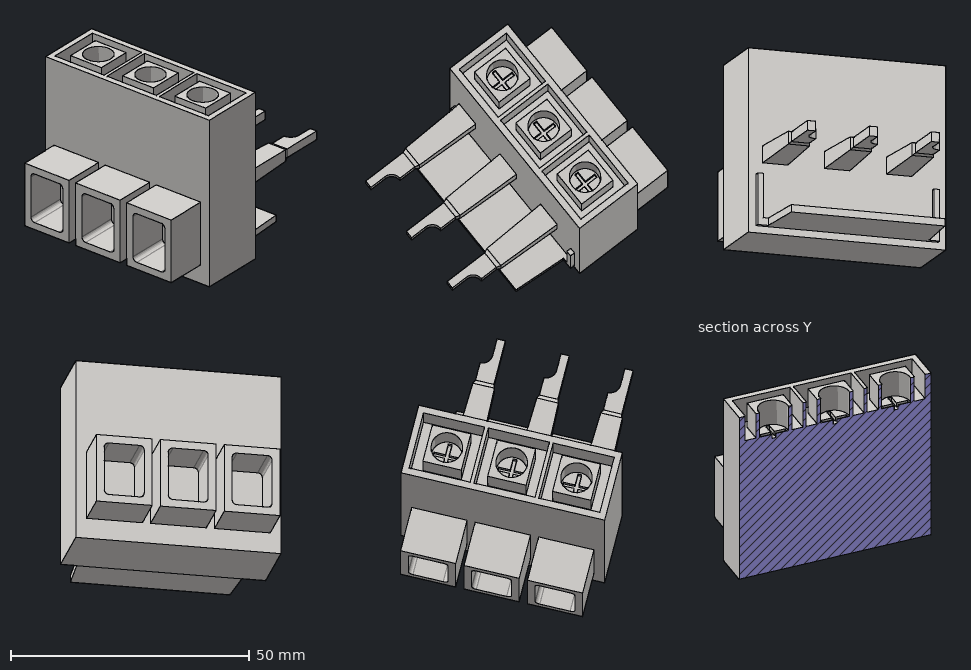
import cadquery as cq

POLES = (-1, 0, 1)
OVERLAP = 0.5

BODY_WIDTH = 44.0
BODY_DEPTH = 15.5
BODY_HEIGHT = 40.0

CHAMBER_PITCH = 14.0
CHAMBER_WIDTH = 13.2
CHAMBER_LENGTH = 12.6
CHAMBER_DEPTH = 6.0
CHAMBER_Y = -BODY_DEPTH / 2
BOSS_SIZE = 8.3
SCREW_DIAMETER = 6.6
SCREW_HOLE_DEPTH = CHAMBER_DEPTH
CROSS_LENGTH = 5.8
CROSS_WIDTH = 0.8
CROSS_DEPTH = 1.0

TUBE_PITCH = 13.7
TUBE_WIDTH = 11.95
TUBE_HEIGHT = 15.05
TUBE_LENGTH = 9.9
TUBE_BOTTOM = 4.5
TUBE_WALL = 1.7
TUBE_CORNER_RADIUS = 1.0

PIN_PITCH = 13.8
PIN_OFFSET = 2.2
PIN_Z = 17.15
PIN_ROOT_WIDTH = 5.6
PIN_ROOT_HEIGHT = 3.7
PIN_SLEEVE_WIDTH = 4.7
PIN_SLEEVE_HEIGHT = 2.8
PIN_SLEEVE_END = 14.7
BLADE_WIDTH = 4.0
BLADE_THICKNESS = 2.1
BLADE_START = 15.6
BLADE_NOTCH_START = 19.6
BLADE_NOTCH_WIDTH = 2.2
BLADE_END = 25.6

FRAME_WIDTH = 40.5
FRAME_DEPTH = 1.05
FRAME_BOTTOM = 1.55
FRAME_TOP = 12.75
FRAME_RIB_WIDTH = 1.25
SHELF_THICKNESS = 1.6
SHELF_END = 13.1
SHELF_ROOT_WIDTH = 35.8
SHELF_TIP_WIDTH = 34.2


def box(width, length, height, x, y, z):
    """Box centred on (x, y) with its lower face at z."""
    return cq.Workplane("XY").box(width, length, height, centered=(True, True, False)).translate((x, y, z))


def housing():
    return box(BODY_WIDTH, BODY_DEPTH, BODY_HEIGHT, 0, -BODY_DEPTH / 2, 0)


def chamber_cut(x):
    """Chamber around the screw boss, bore inside it and cross slot in the screw head at its floor."""
    floor = BODY_HEIGHT - CHAMBER_DEPTH
    screw_head = BODY_HEIGHT - SCREW_HOLE_DEPTH
    cross_floor = screw_head - CROSS_DEPTH
    ring = box(CHAMBER_WIDTH, CHAMBER_LENGTH, CHAMBER_DEPTH, x, CHAMBER_Y, floor).cut(
        box(BOSS_SIZE, BOSS_SIZE, CHAMBER_DEPTH, x, CHAMBER_Y, floor)
    )
    hole = (
        cq.Workplane("XY")
        .circle(SCREW_DIAMETER / 2)
        .extrude(SCREW_HOLE_DEPTH)
        .translate((x, CHAMBER_Y, screw_head))
    )
    cross = box(CROSS_LENGTH, CROSS_WIDTH, CROSS_DEPTH, x, CHAMBER_Y, cross_floor).union(
        box(CROSS_WIDTH, CROSS_LENGTH, CROSS_DEPTH, x, CHAMBER_Y, cross_floor)
    )
    return ring, hole, cross


def cable_tube(x):
    """Rectangular tube, open at the front and closed by the housing."""
    outer_length = TUBE_LENGTH + OVERLAP
    outer_y = -BODY_DEPTH + OVERLAP - outer_length / 2
    outer = box(TUBE_WIDTH, outer_length, TUBE_HEIGHT, x, outer_y, TUBE_BOTTOM)
    opening = box(
        TUBE_WIDTH - 2 * TUBE_WALL,
        TUBE_LENGTH,
        TUBE_HEIGHT - 2 * TUBE_WALL,
        x,
        -BODY_DEPTH - TUBE_LENGTH / 2,
        TUBE_BOTTOM + TUBE_WALL,
    )
    return outer, opening.edges("|Y").fillet(TUBE_CORNER_RADIUS)


def tapered_block(x, y_start, start_size, y_end, end_size):
    """Straight taper along Y between two rectangles centred on the pin axis."""
    return (
        cq.Workplane("XZ", origin=(x, y_start, PIN_Z))
        .rect(*start_size)
        .workplane(offset=y_start - y_end)
        .rect(*end_size)
        .loft(ruled=True)
    )


def contact_pin(x):
    """Tapered sleeve, short shoulder and a notched flat blade."""
    root = (PIN_ROOT_WIDTH, PIN_ROOT_HEIGHT)
    sleeve_end = (PIN_SLEEVE_WIDTH, PIN_SLEEVE_HEIGHT)
    blade_section = (BLADE_WIDTH, BLADE_THICKNESS)
    left = -BLADE_WIDTH / 2
    right = BLADE_WIDTH / 2
    blade = (
        cq.Workplane("XY", origin=(x, 0, PIN_Z - BLADE_THICKNESS / 2))
        .moveTo(left, BLADE_START)
        .lineTo(right, BLADE_START)
        .lineTo(right, BLADE_END)
        .lineTo(left + BLADE_NOTCH_WIDTH, BLADE_END)
        .lineTo(left + BLADE_NOTCH_WIDTH, BLADE_NOTCH_START + BLADE_NOTCH_WIDTH)
        .radiusArc((left, BLADE_NOTCH_START), BLADE_NOTCH_WIDTH)
        .close()
        .extrude(BLADE_THICKNESS)
    )
    sleeve = tapered_block(x, 0, root, PIN_SLEEVE_END, sleeve_end)
    shoulder = tapered_block(x, PIN_SLEEVE_END, sleeve_end, BLADE_START, blade_section)
    return sleeve.union(shoulder).union(blade)


def support_frame():
    """Low bar with an upright rib at each end, set against the rear face."""
    length = FRAME_DEPTH + OVERLAP
    y = FRAME_DEPTH - length / 2
    rib_x = (FRAME_WIDTH - FRAME_RIB_WIDTH) / 2
    frame = box(FRAME_WIDTH, length, SHELF_THICKNESS, 0, y, FRAME_BOTTOM)
    for side in (-1, 1):
        frame = frame.union(
            box(FRAME_RIB_WIDTH, length, FRAME_TOP - FRAME_BOTTOM, side * rib_x, y, FRAME_BOTTOM)
        )
    return frame


def shelf():
    """Tapered shelf level with the low bar of the frame."""
    return (
        cq.Workplane("XY", origin=(0, 0, FRAME_BOTTOM))
        .polyline([
            (-SHELF_ROOT_WIDTH / 2, FRAME_DEPTH),
            (SHELF_ROOT_WIDTH / 2, FRAME_DEPTH),
            (SHELF_TIP_WIDTH / 2, SHELF_END),
            (-SHELF_TIP_WIDTH / 2, SHELF_END),
        ])
        .close()
        .extrude(SHELF_THICKNESS)
    )


result = housing().union(support_frame()).union(shelf())
for pole in POLES:
    result = result.union(contact_pin(PIN_OFFSET + pole * PIN_PITCH))
    tube, tube_opening = cable_tube(pole * TUBE_PITCH)
    result = result.union(tube).cut(tube_opening)
    for removed in chamber_cut(pole * CHAMBER_PITCH):
        result = result.cut(removed)